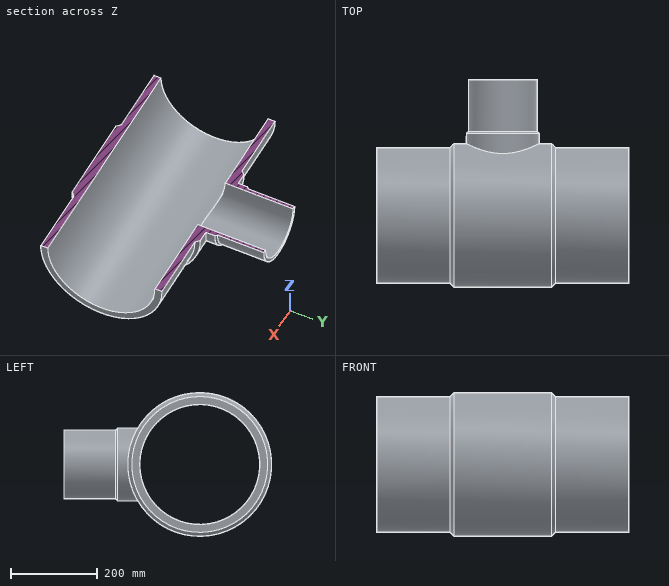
import cadquery as cq

run_length = 585.0
run_od = 315.0
run_wall = 18.7
run_bore = run_od - 2 * run_wall

sleeve_step = run_wall / 2
sleeve_od = run_od + 2 * sleeve_step
sleeve_length = 245.0

branch_reach = 315.0
branch_od = 160.0
branch_wall = 9.5
branch_bore = branch_od - 2 * branch_wall

collar_step = branch_wall / 2
collar_od = branch_od + 2 * collar_step
collar_reach = 195.0


def cylinder_x(diameter, length):
    """Cylinder along X, centred on the origin."""
    return cq.Workplane("YZ").circle(diameter / 2).extrude(length / 2, both=True)


def cylinder_y(diameter, reach):
    """Cylinder along +Y, starting on the run axis."""
    return cq.Workplane("XZ").circle(diameter / 2).extrude(-reach)


def make_sleeve():
    """Sleeve whose two ends taper at 45 degrees down to the run pipe."""
    return cylinder_x(sleeve_od, sleeve_length).faces("<X or >X").chamfer(sleeve_step)


def make_collar():
    """Branch collar whose outer end tapers at 45 degrees down to the branch pipe."""
    return cylinder_y(collar_od, collar_reach).faces(">Y").chamfer(collar_step)


run = cylinder_x(run_od, run_length).union(make_sleeve())
branch = cylinder_y(branch_od, branch_reach).union(make_collar())
tee = run.union(branch)

result = tee.cut(cylinder_x(run_bore, run_length)).cut(cylinder_y(branch_bore, branch_reach))